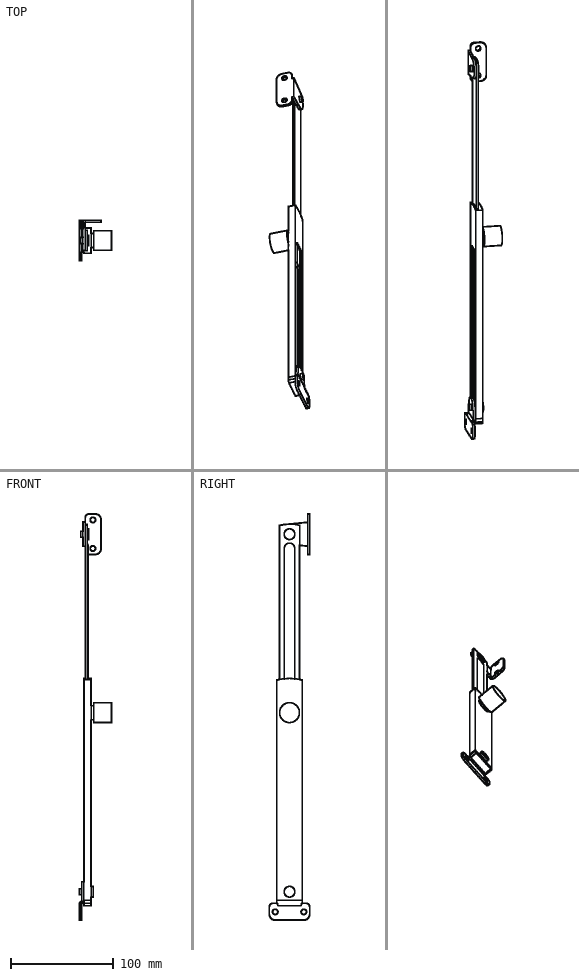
import cadquery as cq
import math


sheet = 2.2
overall_thickness = 31.8
overall_length = 398.0

plate_length = 39.86
plate_near_radius = 4.0
plate_far_radius = 6.0
screw_hole_diameter = 5.0
screw_hole_spacing = 28.0
screw_hole_to_edge = 8.2
tab_end_radius = 10.0
lower_plate_height = 16.8
offset_bend_height = 2.2
lower_tab_root_width = 23.2
upper_plate_width = 18.0
upper_tab_root_width = 24.0

rivet_diameter = 6.0
rivet_head_diameter = 10.5
upper_rivet_head = 1.4
lower_pivot_z = 27.9

arm_width = 20.0
arm_thickness = 2.0
arm_bottom_z = 169.8
arm_top_above_pivot = 10.0
arm_crown = 1.4
bead_width = 10.0
bead_height = 1.3
bead_start_below_pivot = 8.7

housing_width = 25.0
housing_thickness = 7.2
housing_wall = 1.3
housing_top_z = 236.8
housing_crown = 1.5
window_width = 13.0
window_bottom_z = 37.5
window_top_z = 192.6

cap_bottom_z = 14.0
cap_top_z = 19.8
cap_chamfer_height = 2.4
cap_chamfer_width = 1.7

clamp_z = 203.3
collar_diameter = 14.0
collar_length = 2.4
knob_diameter = 19.5

housing_x = 2 * sheet
housing_back_x = housing_x + housing_thickness
arm_x = housing_x + housing_wall
arm_back_x = arm_x + arm_thickness
upper_tab_x = arm_x - sheet
upper_pivot_z = overall_length - plate_length / 2
arm_top_z = upper_pivot_z + arm_top_above_pivot
knob_x = housing_back_x + collar_length


def slab(x, thickness, width, bottom, top):
    """Block centred on Y = 0."""
    block = cq.Workplane("XY").box(thickness, width, top - bottom, centered=(False, True, False))
    return block.translate((x, 0, bottom))


def arched_bar(x, thickness, width, bottom, top, crown):
    """Flat bar whose upper end rises by crown to top in a shallow arc."""
    half = width / 2
    return (
        cq.Workplane("YZ", origin=(x, 0, 0))
        .moveTo(-half, bottom)
        .lineTo(half, bottom)
        .lineTo(half, top - crown)
        .threePointArc((0, top), (-half, top - crown))
        .close()
        .extrude(thickness)
    )


def disc(x, z, diameter, length):
    """Cylinder along X on the middle plane."""
    return cq.Workplane("YZ", origin=(x, 0, z)).circle(diameter / 2).extrude(length)


def tab_tangent_point(root_half, root_distance):
    """Point where the tapered side of a tab runs tangent into its round end.

    Given as (across, along) from the pivot; the root lies root_distance behind the pivot.
    """
    reach = math.hypot(root_half, root_distance)
    angle = math.atan2(root_half, -root_distance) - math.acos(tab_end_radius / reach)
    return tab_end_radius * math.sin(angle), tab_end_radius * math.cos(angle)


def make_rivet(start_x, pivot_z, head_x, head_length):
    """Shank from start_x to the head, which sits at head_x."""
    shank = disc(start_x, pivot_z, rivet_diameter, head_x - start_x)
    return shank.union(disc(head_x, pivot_z, rivet_head_diameter, head_length))


lower_rivet = make_rivet(0, lower_pivot_z, housing_back_x, sheet)
upper_rivet = make_rivet(upper_tab_x - sheet, upper_pivot_z, arm_back_x, upper_rivet_head)


def make_lower_bracket():
    tab_root_z = lower_plate_height + offset_bend_height
    half_root = lower_tab_root_width / 2
    across, along = tab_tangent_point(half_root, lower_pivot_z - tab_root_z)

    plate = slab(0, sheet, plate_length, 0, lower_plate_height)
    plate = plate.edges("|X and >Z").fillet(plate_near_radius)
    plate = plate.edges("|X and <Z").fillet(plate_far_radius)
    screw_holes = (
        cq.Workplane("YZ", origin=(0, 0, screw_hole_to_edge))
        .rarray(screw_hole_spacing, 1, 2, 1)
        .circle(screw_hole_diameter / 2)
        .extrude(sheet)
    )
    bend_foot_z = lower_plate_height - sheet / 2
    offset_bend = (
        cq.Workplane("XZ", origin=(0, half_root, 0))
        .moveTo(0, lower_plate_height)
        .lineTo(sheet, tab_root_z)
        .lineTo(2 * sheet, tab_root_z)
        .lineTo(sheet, bend_foot_z)
        .lineTo(0, bend_foot_z)
        .close()
        .extrude(lower_tab_root_width)
    )
    tab = (
        cq.Workplane("YZ", origin=(sheet, 0, 0))
        .moveTo(-half_root, tab_root_z)
        .lineTo(half_root, tab_root_z)
        .lineTo(across, lower_pivot_z + along)
        .threePointArc((0, lower_pivot_z + tab_end_radius), (-across, lower_pivot_z + along))
        .close()
        .extrude(sheet)
    )
    return plate.cut(screw_holes).union(offset_bend).union(tab).cut(lower_rivet)


def make_upper_bracket():
    plate_back_y = plate_length / 2
    half_root = upper_tab_root_width / 2
    across, along = tab_tangent_point(half_root, plate_back_y)

    plate = (
        cq.Workplane("XY")
        .box(upper_plate_width - sheet, sheet, plate_length, centered=(False, False, True))
        .translate((arm_x, plate_back_y - sheet, upper_pivot_z))
    )
    plate = plate.edges("|Y and <X").fillet(plate_near_radius)
    plate = plate.edges("|Y and >X").fillet(plate_far_radius)
    hole_x = upper_tab_x + upper_plate_width - screw_hole_to_edge
    screw_holes = (
        cq.Workplane("XZ", origin=(hole_x, plate_back_y, upper_pivot_z))
        .rarray(1, screw_hole_spacing, 1, 2)
        .circle(screw_hole_diameter / 2)
        .extrude(sheet)
    )
    tab = (
        cq.Workplane("YZ", origin=(upper_tab_x, 0, upper_pivot_z))
        .moveTo(plate_back_y, -half_root)
        .lineTo(plate_back_y, half_root)
        .lineTo(-along, across)
        .threePointArc((-tab_end_radius, 0), (-along, -across))
        .close()
        .extrude(sheet)
    )
    return plate.cut(screw_holes).union(tab).cut(upper_rivet)


def make_arm():
    bar = arched_bar(arm_x, arm_thickness, arm_width, arm_bottom_z, arm_top_z, arm_crown)
    bead_half_width = bead_width / 2
    bead_radius = (bead_half_width**2 + bead_height**2) / (2 * bead_height)
    bead_axis_x = arm_back_x + bead_height - bead_radius
    bead_end_z = upper_pivot_z - bead_start_below_pivot - bead_half_width
    rod = cq.Workplane("XY", origin=(bead_axis_x, 0, arm_bottom_z)).circle(bead_radius)
    rod = rod.extrude(bead_end_z - arm_bottom_z)
    rod = rod.union(cq.Workplane("XY", origin=(bead_axis_x, 0, bead_end_z)).sphere(bead_radius))
    bead = rod.intersect(slab(arm_back_x, bead_height, arm_width, arm_bottom_z, arm_top_z))
    return bar.union(bead).cut(upper_rivet)


arm = make_arm()


def make_housing():
    bar = arched_bar(
        housing_x, housing_thickness, housing_width, cap_top_z, housing_top_z, housing_crown
    )
    channel = slab(arm_x, arm_thickness, arm_width, window_bottom_z, housing_top_z)
    window = slab(housing_x, housing_wall, window_width, window_bottom_z, window_top_z)
    return bar.cut(channel).cut(window).cut(arm).cut(lower_rivet)


def make_end_cap():
    half = housing_width / 2
    half_bottom = half - cap_chamfer_width
    chamfer_top_z = cap_bottom_z + cap_chamfer_height
    return (
        cq.Workplane("YZ", origin=(housing_x, 0, 0))
        .polyline(
            [
                (-half_bottom, cap_bottom_z),
                (half_bottom, cap_bottom_z),
                (half, chamfer_top_z),
                (half, cap_top_z),
                (-half, cap_top_z),
                (-half, chamfer_top_z),
            ]
        )
        .close()
        .extrude(housing_thickness)
    )


lower_bracket = make_lower_bracket()
upper_bracket = make_upper_bracket()
housing = make_housing()
end_cap = make_end_cap()

collar = disc(housing_back_x, clamp_z, collar_diameter, collar_length)
knob = disc(knob_x, clamp_z, knob_diameter, overall_thickness - knob_x)

bodies = [
    housing,
    end_cap,
    arm,
    lower_bracket,
    upper_bracket,
    lower_rivet,
    upper_rivet,
    collar,
    knob,
]
result = cq.Compound.makeCompound([body.val() for body in bodies])